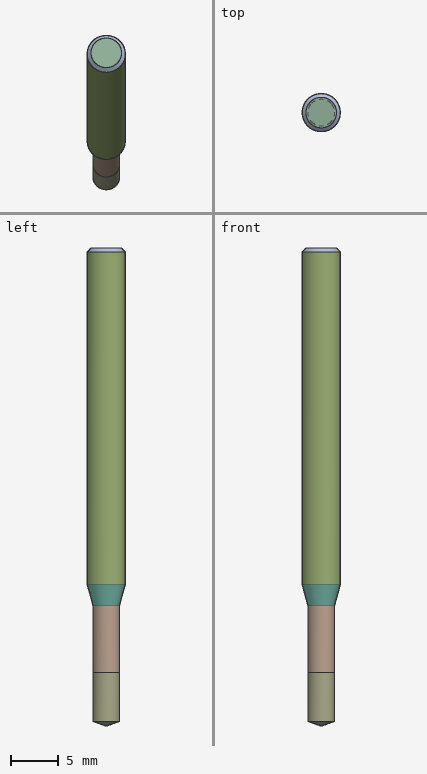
import cadquery as cq

total_length = 50.0
tip_height = 0.5
cutter_top = 5.6
neck_top = 12.6
taper_top = 14.8

shank_diameter = 4.0
slim_diameter = 2.8
chamfer = 0.4

shank_radius = shank_diameter / 2
slim_radius = slim_diameter / 2


def revolve_profile(points):
    """Revolve a closed (radius, height) outline around the Z axis."""
    return cq.Workplane("XZ").polyline(points).close().revolve(360, (0, 0), (0, 1))


def make_cutter():
    """Cylindrical cutting end with a conical point."""
    return revolve_profile([
        (0, 0),
        (slim_radius, tip_height),
        (slim_radius, cutter_top),
        (0, cutter_top),
    ])


def make_shank():
    """Neck, taper and shank, standing on the flat top of the cutter."""
    return revolve_profile([
        (0, cutter_top),
        (slim_radius, cutter_top),
        (slim_radius, neck_top),
        (shank_radius, taper_top),
        (shank_radius, total_length - chamfer),
        (shank_radius - chamfer, total_length),
        (0, total_length),
    ])


cutter = make_cutter()
shank = make_shank()
result = cq.Compound.makeCompound([cutter.val(), shank.val()])